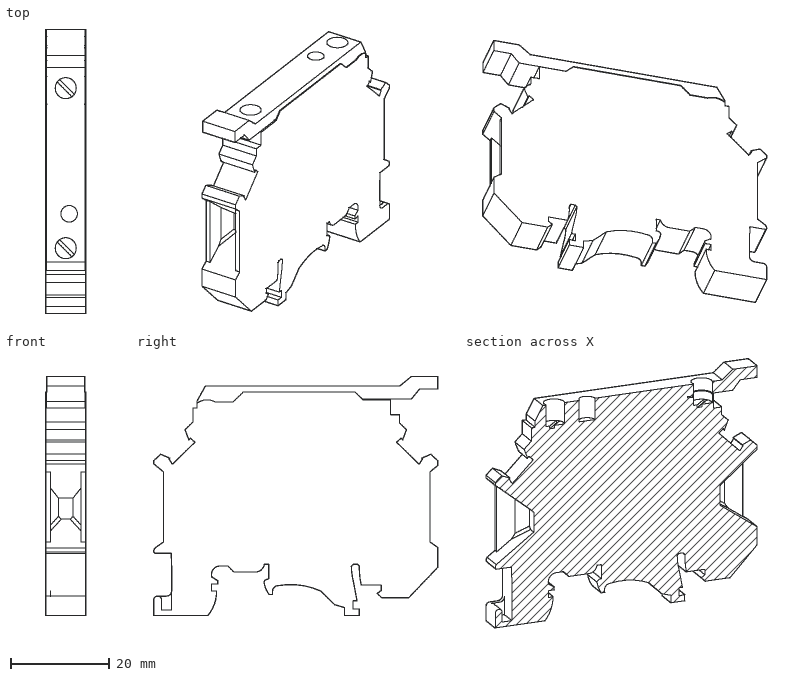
import cadquery as cq
import math


LENGTH = 58.0
THICKNESS = 8.2
HEIGHT = 48.85
WALL = 1.0
HALF_LENGTH = LENGTH / 2
HALF_THICKNESS = THICKNESS / 2

COVER_THICKNESS = 7.85
COVER_TOP = 46.85
COVER_UNDERSIDE = 44.2
COVER_ROOT = 42.4
COVER_FRONT = -20.2
COVER_SLOPE_FOOT = 43.75
CHEEK_SETBACK = 0.05
TAB_THICKNESS = 2.6

FRONT_FLANK = -27.0
REAR_FLANK = 27.45
MOUTH_BOTTOM = 15.0
MOUTH_TOP = 29.35
CEILING_SLOPE = 0.82
FLOOR_SLOPE = 0.71
FUNNEL_DEPTH = 6.55
TAPER_START = 4.05
FUNNEL_END_WIDTH = 2.95
FUNNEL_CORNER = 0.495

FOOT_WALL = -25.35
FOOT_TOP = 4.0
FOOT_FILLET = 1.05
OVERHANG_TOP = 12.7
OVERHANG_START = 10.05
OVERHANG = 0.085
FRONT_LIP = -28.75
FRONT_LIP_NOSE = 13.0
BEAD_RADIUS = 0.8
TRENCH_FLOOR = 1.15

SCREW_DIAMETER = 4.3
SCREW_PLACES = [17.0, -15.65]
HOLE_DEPTH = 4.65
SCREW_SLOT_WIDTH = 0.7
SCREW_SLOT_DEPTH = 0.6
TEST_HOLE_DIAMETER = 3.35
TEST_HOLE_X = 0.7
TEST_HOLE_Y = -8.65


def prism(outline, x_start, x_end):
    """Extrude a closed YZ outline from x_start to x_end."""
    return outline.close().extrude(x_end - x_start).translate((x_start, 0, 0))


def lug_and_ear(side):
    """Upper lug and ear along one end, from the flank upward; side is +1 (rear) or -1 (front)."""
    flank = abs(REAR_FLANK if side > 0 else FRONT_FLANK)
    lug_underside = MOUTH_TOP + CEILING_SLOPE * (HALF_LENGTH - flank)
    points = [
        (flank, MOUTH_TOP),
        (HALF_LENGTH, lug_underside),
        (HALF_LENGTH, 31.6),
        (27.55, 32.95),
        (25.7, 32.15),
        (25.8, 31.9),
        (25.2, 30.9),
        (20.6, 35.4),
        (21.5, 36.2),
        (21.8, 35.8),
        (22.6, 37.95),
    ]
    return [(side * y, z) for y, z in points]


def floor_lip(flank, lip):
    """Height of the wire floor's outer edge where it meets the end of the lip."""
    return MOUTH_BOTTOM - FLOOR_SLOPE * abs(lip - flank)


def make_housing():
    outline = cq.Workplane("YZ").moveTo(19.4, 44.0)
    outline = outline.polyline(
        [(19.4, 41.0), (21.15, 41.0), (21.15, 39.3)]
        + lug_and_ear(1)[::-1]
        + [
            (REAR_FLANK, MOUTH_BOTTOM),
            (HALF_LENGTH, floor_lip(REAR_FLANK, HALF_LENGTH)),
            (HALF_LENGTH, 9.85),
        ],
        includeCurrent=True,
    )
    outline = (
        outline.polyline(
            [(23.0, 3.6), (17.6, 3.6), (16.6, 4.5), (17.4, 5.1), (17.4, 6.2), (13.35, 6.2)],
            includeCurrent=True,
        )
        .threePointArc((13.05, 7.9), (12.95, 10.1))
        .lineTo(12.65, 10.45)
        .lineTo(11.7, 10.45)
        .lineTo(11.35, 10.1)
        .threePointArc((11.5, 8.5), (11.85, 6.7))
        .polyline(
            [(12.5, 3.0), (11.7, 3.0), (11.7, 1.4), (13.0, 1.4), (13.0, 0), (9.9, 0), (9.9, 1.6)],
            includeCurrent=True,
        )
    )
    outline = (
        outline.lineTo(7.95, 2.2)
        .lineTo(5.1, 5.0)
        .threePointArc((0.75, 6.2), (-3.6, 6.1))
        .threePointArc((-4.4, 5.75), (-4.7, 5.0))
        .lineTo(-4.7, 4.3)
        .lineTo(-5.45, 4.3)
        .threePointArc((-6.1, 5.4), (-6.5, 6.85))
        .threePointArc((-6.15, 7.3), (-5.5, 7.5))
        .lineTo(-5.5, 10.45)
        .lineTo(-6.4, 10.45)
    )
    outline = (
        outline.threePointArc((-6.95, 9.4), (-8.0, 8.9))
        .lineTo(-12.65, 8.9)
        .lineTo(-13.8, 10.1)
        .lineTo(-15.65, 10.1)
        .threePointArc((-16.9, 9.35), (-17.1, 7.9))
        .polyline(
            [(-15.9, 7.15), (-15.9, 6.45), (-17.15, 6.45), (-17.15, 5.05), (-16.1, 5.05)],
            includeCurrent=True,
        )
        .threePointArc((-16.6, 2.3), (-17.9, 0))
    )
    nose_drop = BEAD_RADIUS * (1 - math.sqrt(0.5))
    fillet_gap = FOOT_FILLET * (1 - math.sqrt(0.5))
    outline = (
        outline.lineTo(-HALF_LENGTH, 0)
        .lineTo(-HALF_LENGTH, FOOT_TOP - BEAD_RADIUS)
        .threePointArc(
            (-HALF_LENGTH + nose_drop, FOOT_TOP - nose_drop),
            (-HALF_LENGTH + BEAD_RADIUS, FOOT_TOP),
        )
        .lineTo(FOOT_WALL - FOOT_FILLET, FOOT_TOP)
        .threePointArc(
            (FOOT_WALL - fillet_gap, FOOT_TOP + fillet_gap),
            (FOOT_WALL, FOOT_TOP + FOOT_FILLET),
        )
        .lineTo(FOOT_WALL, OVERHANG_START)
        .lineTo(FOOT_WALL - OVERHANG, OVERHANG_TOP)
        .lineTo(FRONT_LIP, OVERHANG_TOP)
        .lineTo(-HALF_LENGTH, FRONT_LIP_NOSE)
        .threePointArc((-28.95, 13.4), (FRONT_LIP, floor_lip(FRONT_FLANK, FRONT_LIP)))
        .lineTo(FRONT_FLANK, MOUTH_BOTTOM)
    )
    cheek = COVER_FRONT + CHEEK_SETBACK
    outline = outline.polyline(
        lug_and_ear(-1) + [(-21.0, 39.5), (-21.0, COVER_ROOT), (cheek, COVER_ROOT), (cheek, 43.3)],
        includeCurrent=True,
    )
    outline = outline.threePointArc((-18.25, 44.0), (-16.5, 43.6)).polyline(
        [(-12.75, 43.6), (-10.75, 45.6), (12.1, 45.6), (13.75, 44.0)],
        includeCurrent=True,
    )
    return prism(outline, -HALF_THICKNESS, HALF_THICKNESS)


def make_cover():
    outline = cq.Workplane("YZ").polyline(
        [
            (HALF_LENGTH, HEIGHT),
            (23.6, HEIGHT),
            (21.2, COVER_TOP),
            (-18.45, COVER_TOP),
            (COVER_FRONT, COVER_SLOPE_FOOT),
            (COVER_FRONT, COVER_ROOT),
            (13.65, COVER_ROOT),
            (13.65, COVER_UNDERSIDE),
            (23.6, COVER_UNDERSIDE),
            (25.3, HEIGHT - TAB_THICKNESS),
            (HALF_LENGTH, HEIGHT - TAB_THICKNESS),
        ]
    )
    return prism(outline, -COVER_THICKNESS / 2, COVER_THICKNESS / 2)


def make_funnel(side, flank):
    """Wire funnel entering from a flank; side is +1 (rear) or -1 (front)."""
    half_mouth = HALF_THICKNESS - WALL
    half_end = FUNNEL_END_WIDTH / 2
    end_floor = MOUTH_BOTTOM + FLOOR_SLOPE * FUNNEL_DEPTH
    end_ceiling = MOUTH_TOP - CEILING_SLOPE * FUNNEL_DEPTH
    end = flank - side * FUNNEL_DEPTH
    taper = flank - side * TAPER_START
    elevation = prism(
        cq.Workplane("YZ").polyline(
            [(flank, MOUTH_BOTTOM), (end, end_floor), (end, end_ceiling), (flank, MOUTH_TOP)]
        ),
        -half_mouth,
        half_mouth,
    )
    plan = (
        cq.Workplane("XY")
        .polyline(
            [
                (-half_mouth, flank),
                (-half_mouth, taper),
                (-half_end, end),
                (half_end, end),
                (half_mouth, taper),
                (half_mouth, flank),
            ]
        )
        .close()
        .extrude(HEIGHT)
    )
    funnel = elevation.intersect(plan)
    for x_side in (-1, 1):
        corner = (
            x_side * (half_mouth + half_end) / 2,
            (taper + end) / 2,
            MOUTH_BOTTOM + FLOOR_SLOPE * (TAPER_START + FUNNEL_DEPTH) / 2,
        )
        funnel = funnel.edges(cq.selectors.NearestToPointSelector(corner)).chamfer(FUNNEL_CORNER)
    return funnel


def make_trench():
    """Gap behind the foot's bead, open on the +X side and closed by the -X wall."""
    bead_back = -HALF_LENGTH + 2 * BEAD_RADIUS
    bead_crest = -HALF_LENGTH + BEAD_RADIUS
    arc_gap = BEAD_RADIUS * (1 - math.sqrt(0.5))
    outline = (
        cq.Workplane("YZ")
        .moveTo(FOOT_WALL, TRENCH_FLOOR)
        .lineTo(bead_back, TRENCH_FLOOR)
        .lineTo(bead_back, FOOT_TOP - BEAD_RADIUS)
        .threePointArc((bead_back - arc_gap, FOOT_TOP - arc_gap), (bead_crest, FOOT_TOP))
        .lineTo(bead_crest, FOOT_TOP + FOOT_FILLET)
        .lineTo(FOOT_WALL, FOOT_TOP + FOOT_FILLET)
    )
    return prism(outline, -HALF_THICKNESS + WALL, HALF_THICKNESS)


def make_hole(diameter, x, y):
    bottom = COVER_TOP - HOLE_DEPTH
    return cq.Workplane("XY", origin=(x, y, bottom)).circle(diameter / 2).extrude(HOLE_DEPTH)


def make_screw_slot(y):
    """Driver slot across the screw head at the bottom of a screw hole."""
    slot = (
        cq.Workplane("XY", origin=(0, y, COVER_TOP - HOLE_DEPTH - SCREW_SLOT_DEPTH))
        .rect(SCREW_DIAMETER, SCREW_SLOT_WIDTH)
        .extrude(SCREW_SLOT_DEPTH)
    )
    return slot.rotate((0, y, 0), (0, y, 1), -45)


result = make_housing().union(make_cover())
result = result.cut(make_trench())
result = result.cut(make_funnel(-1, FRONT_FLANK))
result = result.cut(make_funnel(1, REAR_FLANK))
for screw_y in SCREW_PLACES:
    result = result.cut(make_hole(SCREW_DIAMETER, 0, screw_y))
    result = result.cut(make_screw_slot(screw_y))
result = result.cut(make_hole(TEST_HOLE_DIAMETER, TEST_HOLE_X, TEST_HOLE_Y))